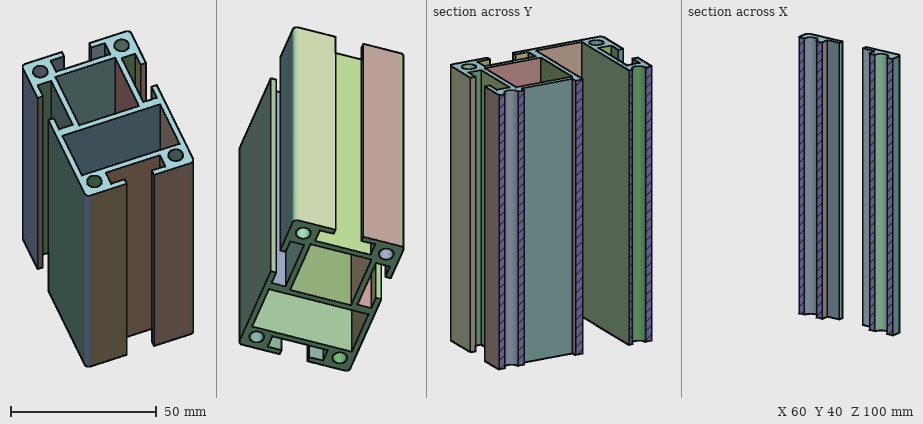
import cadquery as cq

width = 60.0
depth = 40.0
length = 100.0
corner_radius = 1.5

wall = 2.0

slot_mouth = 10.0
slot_inner_width = 20.0
slot_depth = 7.0
side_slot_x = -10.0

channel_diameter = 5.0
channel_inset = 5.0

square_chamber_left = -width / 2 + slot_depth + wall
square_chamber_size = depth - 2 * (slot_depth + wall)
square_chamber_x = square_chamber_left + square_chamber_size / 2
web_right = square_chamber_left + square_chamber_size + wall
tall_chamber_right = width / 2 - slot_depth - wall
tall_chamber_width = tall_chamber_right - web_right
tall_chamber_x = (tall_chamber_right + web_right) / 2
tall_chamber_depth = depth - 2 * wall


def prism(x_size, y_size, x=0, y=0):
    """Full-length rectangular bar centred at (x, y)."""
    return cq.Workplane("XY").center(x, y).rect(x_size, y_size).extrude(length)


def slot_cutter(face_distance):
    """T-slot opening toward +X in a face at the given distance from the origin."""
    mouth = prism(slot_depth, slot_mouth, face_distance - slot_depth / 2)
    inner_depth = slot_depth - wall
    inner_x = face_distance - wall - inner_depth / 2
    return mouth.union(prism(inner_depth, slot_inner_width, inner_x))


def turned(cutter, angle):
    return cutter.rotate((0, 0, 0), (0, 0, 1), angle)


body = prism(width, depth).edges("|Z").fillet(corner_radius)

body = body.cut(prism(square_chamber_size, square_chamber_size, square_chamber_x))
body = body.cut(prism(tall_chamber_width, tall_chamber_depth, tall_chamber_x))

for angle in (0, 180):
    body = body.cut(turned(slot_cutter(width / 2), angle))
for angle in (90, -90):
    cutter = turned(slot_cutter(depth / 2), angle)
    body = body.cut(cutter.translate((side_slot_x, 0, 0)))

channels = (
    cq.Workplane("XY")
    .rect(width - 2 * channel_inset, depth - 2 * channel_inset, forConstruction=True)
    .vertices()
    .circle(channel_diameter / 2)
    .extrude(length)
)

result = body.cut(channels)